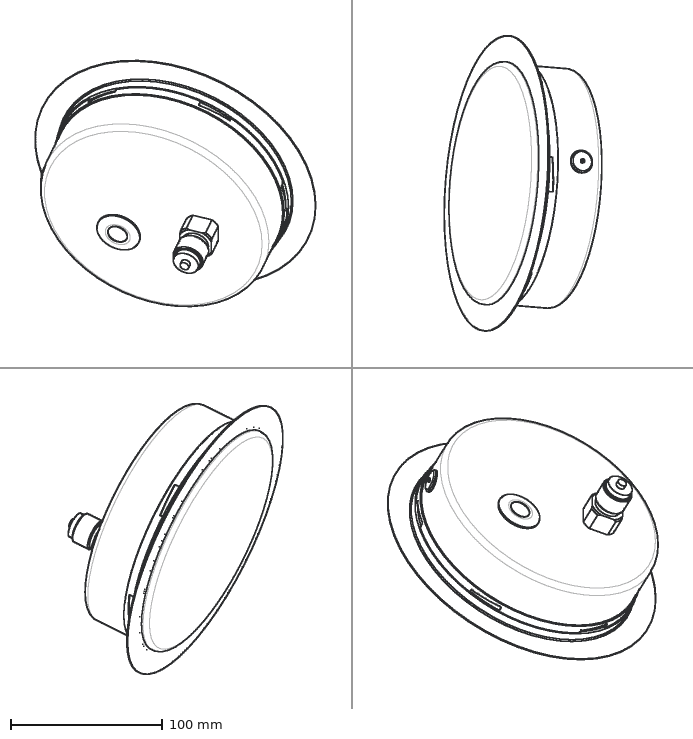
import cadquery as cq
import math


CASE_DIAMETER = 159.2
CASE_FILLET = 3.5
FRONT_Y = 50.2
BEZEL_DIAMETER = 161.3
BEZEL_DEPTH = 17.8
BEZEL_FILLET = 3.1
COLLAR_DIAMETER = 163.0
COLLAR_FRONT = 5.9
COLLAR_BACK = 11.5
FLARE_DIAMETER = 164.6

FLANGE_DIAMETER = 196
FLANGE_FRONT = 4.1
FLANGE_THICKNESS = 0.8

RECESS_COUNT = 6
RECESS_START_ANGLE = -15.5
RECESS_SWEEP = 16.4
RECESS_DEPTH = 1.0
RECESS_WIDE_END = 4.0
RECESS_NARROW_END = 2.4
RECESS_CORNER = 0.8

CONNECTOR_X = 34.5
SQUARE_SIZE = 22.1
SQUARE_LENGTH = 14.0
SQUARE_CORNER_DIAMETER = 25.9
SQUARE_END_CHAMFER = 1.0
NECK_DIAMETER = 18.0
NOSE_DIAMETER = 17.5
THREAD_DIAMETER = 21.0
THREAD_START = 17.0
THREAD_END = 30.2
THREAD_CHAMFER = 0.8
NOSE_END = 34.0
TIP_DIAMETER = 6.0
TIP_END = 36.8

DISC_X = -24.0
DISC_Z = -20.0
DISC_DIAMETER = 30.0
DISC_RIM_HEIGHT = 1.2
DISC_TOP_DIAMETER = 17.5
DISC_HEIGHT = 2.7
DISC_DIMPLE_DIAMETER = 13.5
DISC_DIMPLE_DEPTH = 0.4

PLUG_Y = 15.7
PLUG_DIAMETER = 15.0
PLUG_REACH = 81.5
PLUG_CHAMFER = 1.0
PLUG_PIN_DIAMETER = 2.5
PLUG_PIN_REACH = 83.3
PLUG_PIN_CHAMFER = 0.5

EMBED = 4.0


def disc_along_y(diameter, y_low, y_high, x=0, z=0):
    """Cylinder parallel to the gauge axis between two Y positions."""
    base = cq.Workplane("XZ", origin=(x, y_high, z))
    return base.circle(diameter / 2).extrude(y_high - y_low)


def disc_along_x(diameter, x_low, x_high):
    """Cylinder parallel to X through the filling plug centre."""
    base = cq.Workplane("YZ", origin=(x_low, PLUG_Y, 0))
    return base.circle(diameter / 2).extrude(x_high - x_low)


def make_flare():
    """Conical lip widening from the collar to the flange."""
    collar_front_y = FRONT_Y - COLLAR_FRONT
    lip_height = COLLAR_FRONT - FLANGE_FRONT - FLANGE_THICKNESS
    lip = cq.Workplane("XZ", origin=(0, collar_front_y, 0)).circle(COLLAR_DIAMETER / 2)
    return lip.workplane(offset=-lip_height).circle(FLARE_DIAMETER / 2).loft()


def make_case():
    case = disc_along_y(CASE_DIAMETER, 0, FRONT_Y - BEZEL_FILLET)
    case = case.faces("<Y").edges().fillet(CASE_FILLET)
    bezel = disc_along_y(BEZEL_DIAMETER, FRONT_Y - BEZEL_DEPTH, FRONT_Y)
    bezel = bezel.faces(">Y").edges().fillet(BEZEL_FILLET)
    collar = disc_along_y(COLLAR_DIAMETER, FRONT_Y - COLLAR_BACK, FRONT_Y - COLLAR_FRONT)
    flange_front_y = FRONT_Y - FLANGE_FRONT
    flange = disc_along_y(FLANGE_DIAMETER, flange_front_y - FLANGE_THICKNESS, flange_front_y)
    return case.union(bezel).union(collar).union(make_flare()).union(flange)


def make_recess():
    """Shallow tapered recess at the -X side, its top edge on the collar."""
    radius = BEZEL_DIAMETER / 2
    floor_radius = radius - RECESS_DEPTH
    low_angle = math.radians(RECESS_START_ANGLE)
    high_angle = math.radians(RECESS_START_ANGLE + RECESS_SWEEP)
    top_y = FRONT_Y - COLLAR_BACK
    z_low = radius * math.sin(low_angle)
    z_high = radius * math.sin(high_angle)
    outline = [
        (top_y, z_low),
        (top_y - RECESS_WIDE_END, z_low),
        (top_y - RECESS_NARROW_END, z_high),
        (top_y, z_high),
    ]
    base = cq.Workplane("YZ", origin=(-radius, 0, 0))
    block = base.polyline(outline).close().extrude(radius / 2)
    block = block.edges("|X and <Y").fillet(RECESS_CORNER)
    return block.cut(disc_along_y(2 * floor_radius, 0, FRONT_Y))


def cut_recesses(body):
    recess = make_recess()
    for index in range(RECESS_COUNT):
        angle = index * 360 / RECESS_COUNT
        body = body.cut(recess.rotate((0, 0, 0), (0, 1, 0), angle))
    return body


def make_connector():
    base = cq.Workplane("XZ", origin=(CONNECTOR_X, EMBED, 0))
    square = base.rect(SQUARE_SIZE, SQUARE_SIZE).extrude(SQUARE_LENGTH + EMBED)
    turning = disc_along_y(SQUARE_CORNER_DIAMETER, -SQUARE_LENGTH, EMBED, CONNECTOR_X)
    square = square.intersect(turning.faces("<Y").chamfer(SQUARE_END_CHAMFER))
    neck = disc_along_y(NECK_DIAMETER, -THREAD_START, 0, CONNECTOR_X)
    nose = disc_along_y(NOSE_DIAMETER, -NOSE_END, -THREAD_END, CONNECTOR_X)
    thread = disc_along_y(THREAD_DIAMETER, -THREAD_END, -THREAD_START, CONNECTOR_X)
    thread = thread.faces("<Y or >Y").chamfer(THREAD_CHAMFER)
    tip = disc_along_y(TIP_DIAMETER, -TIP_END, -NOSE_END, CONNECTOR_X)
    return square.union(neck).union(nose).union(thread).union(tip)


def make_blowout_disc():
    profile = [
        (0, EMBED),
        (DISC_DIAMETER / 2, EMBED),
        (DISC_DIAMETER / 2, -DISC_RIM_HEIGHT),
        (DISC_TOP_DIAMETER / 2, -DISC_HEIGHT),
        (0, -DISC_HEIGHT),
    ]
    disc = cq.Workplane("XY").polyline(profile).close().revolve(360, (0, 0, 0), (0, 1, 0))
    disc = disc.translate((DISC_X, 0, DISC_Z))
    dimple_floor = DISC_DIMPLE_DEPTH - DISC_HEIGHT
    return disc.cut(disc_along_y(DISC_DIMPLE_DIAMETER, -DISC_HEIGHT, dimple_floor, DISC_X, DISC_Z))


def make_filling_plug():
    inner_x = EMBED - CASE_DIAMETER / 2
    head = disc_along_x(PLUG_DIAMETER, -PLUG_REACH, inner_x).faces("<X").chamfer(PLUG_CHAMFER)
    pin = disc_along_x(PLUG_PIN_DIAMETER, -PLUG_PIN_REACH, inner_x).faces("<X").chamfer(PLUG_PIN_CHAMFER)
    return head.union(pin)


body = cut_recesses(make_case())
result = body.union(make_connector()).union(make_blowout_disc()).union(make_filling_plug())